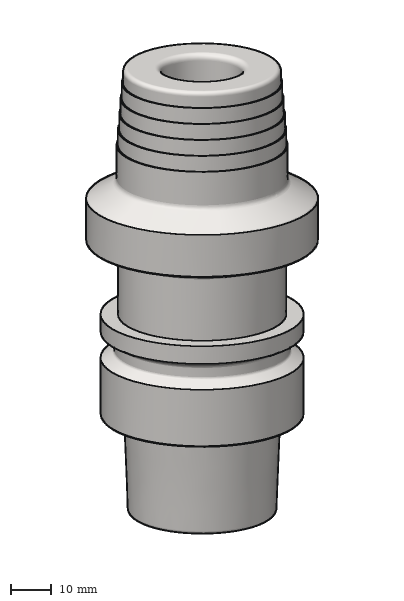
import cadquery as cq

total_height = 114.9

nose_tip_radius = 19.4
nose_step_rise = 0.32
nose_step_count = 5
nose_first_step_z = 110.9
nose_step_pitch = 4.0
nose_tip_round = 1.1
nose_root_round = 1.4
nose_base_radius = nose_tip_radius + nose_step_count * nose_step_rise

ring_radius = 28.5
ring_edge_chamfer = 0.3
ring_bottom_z = 69.9
ring_top_z = 81.3
shoulder_top_z = 85.4
shoulder_bottom_z = 67.2
neck_radius = 20.7
neck_root_round = 0.5

flange_radius = 24.9
flange_top_z = 51.0
flange_bottom_z = 24.8
flange_edge_chamfer = 0.3
groove_radius = 21.6
groove_mouth_top_z = 46.4
groove_floor_top_z = 44.7
groove_floor_bottom_z = 41.5
groove_mouth_bottom_z = 39.8
groove_corner_round = 0.7

relief_radius = 19.0
relief_bottom_z = 23.8
taper_top_radius = 19.2
taper_top_z = 23.1
taper_bottom_radius = 18.3
shank_end_round = 0.9

bore_radius = 10.0
bore_depth = 50.0
bore_mouth_round = 1.6

EDGE_MATCH_TOLERANCE = 0.01


def turned_body():
    """Revolve the outer half-profile, drawn from the shank end up to the nose tip."""
    outline = [
        (0, 0),
        (taper_bottom_radius, 0),
        (taper_top_radius, taper_top_z),
        (relief_radius, relief_bottom_z),
        (relief_radius, flange_bottom_z),
        (flange_radius - flange_edge_chamfer, flange_bottom_z),
        (flange_radius, flange_bottom_z + flange_edge_chamfer),
        (flange_radius, groove_mouth_bottom_z),
        (groove_radius, groove_floor_bottom_z),
        (groove_radius, groove_floor_top_z),
        (flange_radius, groove_mouth_top_z),
        (flange_radius, flange_top_z),
        (neck_radius, flange_top_z),
        (neck_radius, shoulder_bottom_z),
        (ring_radius - ring_edge_chamfer, ring_bottom_z),
        (ring_radius, ring_bottom_z + ring_edge_chamfer),
        (ring_radius, ring_top_z - ring_edge_chamfer),
        (ring_radius - ring_edge_chamfer, ring_top_z),
        (nose_base_radius, shoulder_top_z),
    ]
    for step in reversed(range(nose_step_count)):
        step_z = nose_first_step_z - step * nose_step_pitch
        radius_above = nose_tip_radius + step * nose_step_rise
        outline.append((radius_above + nose_step_rise, step_z))
        outline.append((radius_above, step_z))
    outline += [(nose_tip_radius, total_height), (0, total_height)]
    return cq.Workplane("XZ").polyline(outline).close().revolve(360, (0, 0), (0, 1))


def round_circle(body, radius, z, size):
    """Round the circular edge of the given radius at height z."""
    def is_wanted(edge):
        box = edge.BoundingBox()
        same_height = box.zlen < EDGE_MATCH_TOLERANCE and abs(box.center.z - z) < EDGE_MATCH_TOLERANCE
        return same_height and abs(edge.radius() - radius) < EDGE_MATCH_TOLERANCE

    circles = body.edges("%CIRCLE").filter(is_wanted)
    return circles.fillet(size)


def cut_bore(body):
    bore = (
        cq.Workplane("XY")
        .workplane(offset=total_height - bore_depth)
        .circle(bore_radius)
        .extrude(bore_depth)
    )
    return body.cut(bore)


rounded_edges = [
    (taper_bottom_radius, 0, shank_end_round),
    (groove_radius, groove_floor_bottom_z, groove_corner_round),
    (groove_radius, groove_floor_top_z, groove_corner_round),
    (neck_radius, shoulder_bottom_z, neck_root_round),
    (nose_base_radius, shoulder_top_z, nose_root_round),
    (nose_tip_radius, total_height, nose_tip_round),
    (bore_radius, total_height, bore_mouth_round),
]

result = cut_bore(turned_body())
for edge_radius, edge_z, round_size in rounded_edges:
    result = round_circle(result, edge_radius, edge_z, round_size)